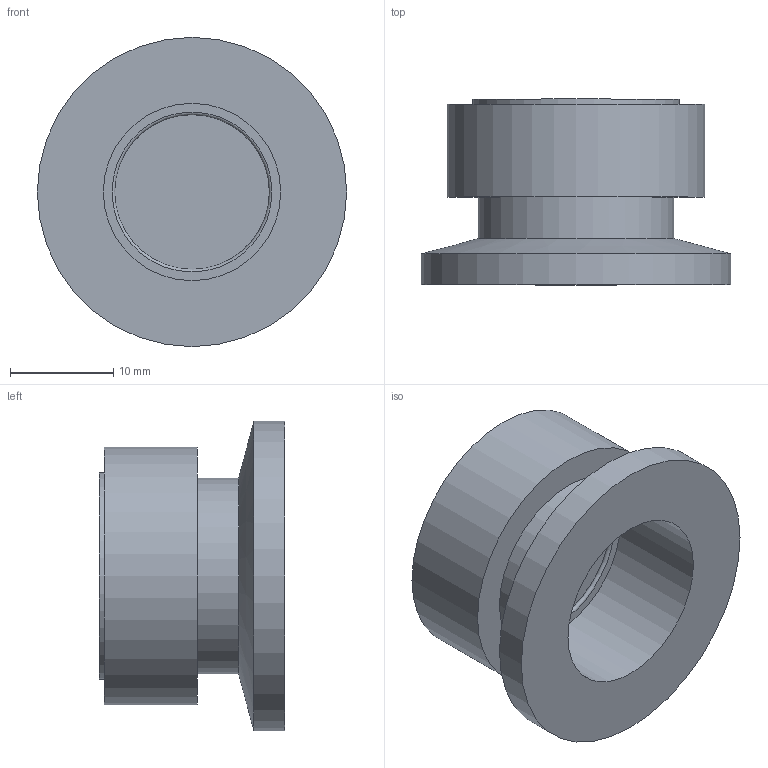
import cadquery as cq
import math


flange_diameter = 30.0
neck_diameter = 19.0
body_diameter = 25.0
pad_diameter = 20.0

overall_length = 18.0
flange_rim_length = 3.0
clamp_taper_angle = 15.0
body_length = 9.0
pad_height = 0.5

bore_diameter = 17.2
bore_depth = 10.0
recess_diameter = 15.5
bead_radius = 0.25

taper_radial_drop = (flange_diameter - neck_diameter) / 2
taper_end = flange_rim_length + taper_radial_drop * math.tan(math.radians(clamp_taper_angle))
body_end = overall_length - pad_height
body_start = body_end - body_length
bead_middle = bore_depth + bead_radius
recess_floor = bore_depth + 2 * bead_radius


def revolve_about_y(profile):
    """Turn a closed half-section, drawn with X as the radius, about the Y axis."""
    return profile.revolve(360, (0, 0, 0), (0, 1, 0))


def make_outer_body():
    """Clamp flange, neck, cylindrical body and end pad as one solid without the bore."""
    profile = (
        cq.Workplane("XY")
        .lineTo(flange_diameter / 2, 0)
        .lineTo(flange_diameter / 2, flange_rim_length)
        .lineTo(neck_diameter / 2, taper_end)
        .lineTo(neck_diameter / 2, body_start)
        .lineTo(body_diameter / 2, body_start)
        .lineTo(body_diameter / 2, body_end)
        .lineTo(pad_diameter / 2, body_end)
        .lineTo(pad_diameter / 2, overall_length)
        .lineTo(0, overall_length)
        .close()
    )
    return revolve_about_y(profile)


def make_bore():
    """Bore from the sealing face, stepping in to the recess; the bead bulges towards the axis."""
    recess_radius = recess_diameter / 2
    profile = (
        cq.Workplane("XY")
        .lineTo(bore_diameter / 2, 0)
        .lineTo(bore_diameter / 2, bore_depth)
        .lineTo(recess_radius, bore_depth)
        .threePointArc((recess_radius - bead_radius, bead_middle), (recess_radius, recess_floor))
        .lineTo(0, recess_floor)
        .close()
    )
    return revolve_about_y(profile)


result = make_outer_body().cut(make_bore())